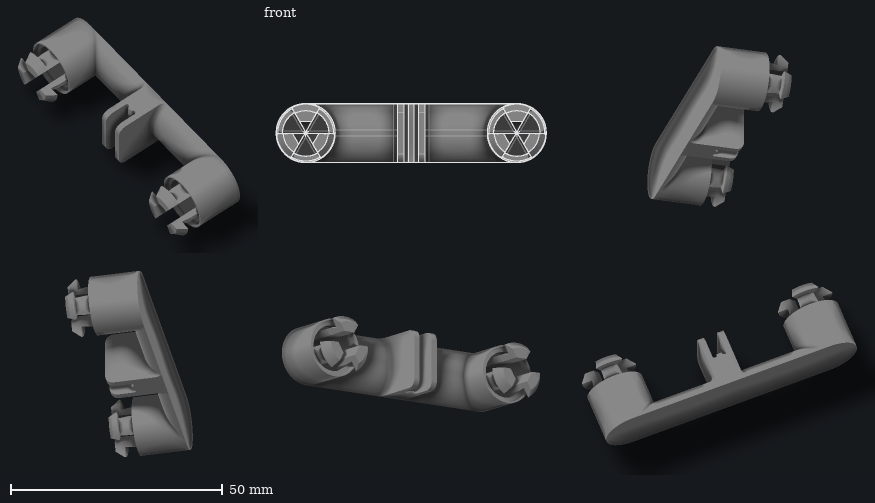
import cadquery as cq
import math

length = 64.0
height = 14.0
total_depth = 17.8

cap_radius = height / 2
cap_depth = 11.75
cap_spacing = length - 2 * cap_radius
rim_radius = 13.25 / 2
rim_height = 0.15
rim_recess = 1.0
socket_radius = 11.0 / 2
rim_depth = cap_depth + rim_height
ledge_depth = rim_depth - rim_recess

bar_depth = 4.0
bar_arc_back = cap_radius - bar_depth
bar_half_flat = height / 2 - math.sqrt(cap_radius**2 - bar_arc_back**2)

fork_width = 6.5
fork_depth = 13.8
plate_thickness = 1.5
plate_corner_radius = 2.1
fork_fillet = 1.0
pick_margin = 0.1
slot_half_width = fork_width / 2 - plate_thickness
slot_floor = 8.0
slot_ridge_half_width = 0.65
groove_depth = 0.65
groove_center = (slot_half_width + slot_ridge_half_width) / 2
groove_wall_drop = 0.25

prong_count = 3
gap_angle = 60.0
gap_side_offset = 0.13
prong_angles = [90.0 + index * 360 / prong_count for index in range(prong_count)]
gap_angles = [angle + 180 / prong_count for angle in prong_angles]
prong_radius = 4.75
prong_neck_radius = 4.45
prong_taper_start = 13.3
neck_length = 0.4
prong_inner_distance = 2.76
hook_radius = 6.87
hook_tip_radius = 5.3
hook_start = 15.5
hook_edge = 0.25
clearance_floor = ledge_depth - 2.0
gap_floor = 2.5
gap_fillet = 0.6
hollow_floor = gap_floor + gap_fillet / 2


def along_y(start, end):
    """Workplane facing -Y (local X = X, local Y = Z) at depth `start`, with its extrusion length."""
    return cq.Workplane("XZ", origin=(0, -start, 0)), end - start


def disc(radius, start, end):
    plane, thickness = along_y(start, end)
    return plane.circle(radius).extrude(thickness)


def turn_to(body, angle):
    """Turn a body that points along +X about the Y axis, by `angle` from +X towards +Z."""
    return body.rotate((0, 0, 0), (0, 1, 0), -angle)


def make_bar(bar_length):
    """Bar running along X; its sides carry on behind Y = 0 up to the arc centres."""
    half_height = bar_half_flat + cap_radius
    arc_mid = cap_radius * math.sqrt(0.5)
    return (
        cq.Workplane("YZ", origin=(-bar_length / 2, 0, 0))
        .moveTo(bar_arc_back, -half_height)
        .threePointArc((bar_arc_back - arc_mid, -bar_half_flat - arc_mid), (-bar_depth, -bar_half_flat))
        .lineTo(-bar_depth, bar_half_flat)
        .threePointArc((bar_arc_back - arc_mid, bar_half_flat + arc_mid), (bar_arc_back, half_height))
        .close()
        .extrude(bar_length)
    )


def make_fork_blank():
    """Fork block, oversized in Z and to the back so that the bar fillets run out cleanly."""
    blank = cq.Workplane("XY").box(fork_width, fork_depth + bar_depth, 2 * height)
    return blank.translate((0, (bar_depth - fork_depth) / 2, 0))


def make_fork_slot():
    """Slot between the plates; its floor has a round groove along each plate."""
    groove_bottom = -slot_floor + groove_depth
    groove_shoulder = -slot_floor + groove_wall_drop
    return (
        cq.Workplane("XY", origin=(0, 0, -height / 2))
        .moveTo(slot_half_width, -total_depth)
        .lineTo(slot_half_width, groove_shoulder)
        .threePointArc((groove_center, groove_bottom), (slot_ridge_half_width, -slot_floor))
        .lineTo(-slot_ridge_half_width, -slot_floor)
        .threePointArc((-groove_center, groove_bottom), (-slot_half_width, groove_shoulder))
        .lineTo(-slot_half_width, -total_depth)
        .close()
        .extrude(height)
    )


def make_bar_with_fork():
    """Bar and fork, with the bar blended into the fork sides, trimmed to the height of the part."""
    body = make_bar(cap_spacing).union(make_fork_blank())
    for x in (-fork_width / 2, fork_width / 2):
        joint = cq.selectors.BoxSelector(
            (x - pick_margin, -bar_depth - pick_margin, -height),
            (x + pick_margin, bar_arc_back - pick_margin, height),
        )
        body = body.edges(joint).fillet(fork_fillet)
    envelope = cq.Workplane("XY").box(length, fork_depth, height).translate((0, -fork_depth / 2, 0))
    envelope = envelope.edges("|X and <Y").fillet(plate_corner_radius)
    return body.intersect(envelope).cut(make_fork_slot())


def make_sector(radius, start, end, angle):
    """Wedge between two prongs: straight sides from just past the axis, closed by an arc about it."""
    plane, thickness = along_y(start, end)
    half_angle = math.radians(gap_angle / 2)
    corner_angle = half_angle + math.asin(gap_side_offset / radius)
    corner_x = radius * math.cos(corner_angle)
    corner_z = radius * math.sin(corner_angle)
    wedge = (
        plane.moveTo(-gap_side_offset / math.sin(half_angle), 0)
        .lineTo(corner_x, -corner_z)
        .threePointArc((radius, 0), (corner_x, corner_z))
        .close()
        .extrude(thickness)
    )
    return turn_to(wedge, angle)


def make_prong_ring():
    """Full ring of the prong section, before it is split into prongs."""
    return (
        cq.Workplane("XY")
        .moveTo(0, -clearance_floor)
        .lineTo(prong_radius, -clearance_floor)
        .lineTo(prong_radius, -prong_taper_start)
        .lineTo(prong_neck_radius, -hook_start + neck_length)
        .lineTo(prong_neck_radius, -hook_start)
        .lineTo(hook_radius, -hook_start)
        .lineTo(hook_radius, -hook_start - hook_edge)
        .lineTo(hook_tip_radius, -total_depth)
        .lineTo(0, -total_depth)
        .close()
        .revolve(360, (0, 0, 0), (0, 1, 0))
    )


def make_gaps():
    """Spaces between the prongs, as wide as the socket inside it and wider than the hooks outside."""
    reach = 2 * cap_radius
    gaps = cq.Workplane("XY")
    for angle in gap_angles:
        wedge = make_sector(reach, gap_floor, total_depth, angle)
        gaps = gaps.union(wedge.faces(">Y").edges("%LINE").fillet(gap_fillet))
    limits = disc(socket_radius, 0, ledge_depth)
    limits = limits.union(disc(rim_radius, ledge_depth, rim_depth))
    limits = limits.union(disc(reach, rim_depth, total_depth))
    return gaps.intersect(limits)


def make_prong_hollow():
    """Space between the prongs: one flat wall per prong that sweeps round to the axis at its root."""
    curve_mid = prong_inner_distance * math.sqrt(0.5)
    wall_root = hollow_floor + prong_inner_distance
    side_view = (
        cq.Workplane("XY", origin=(0, 0, -cap_radius))
        .moveTo(-cap_radius, -hollow_floor)
        .lineTo(0, -hollow_floor)
        .threePointArc((curve_mid, -wall_root + curve_mid), (prong_inner_distance, -wall_root))
        .lineTo(prong_inner_distance, -total_depth)
        .lineTo(-cap_radius, -total_depth)
        .close()
        .extrude(2 * cap_radius)
    )
    hollow = turn_to(side_view, prong_angles[0])
    for angle in prong_angles[1:]:
        hollow = hollow.intersect(turn_to(side_view, angle))
    return hollow


def make_end():
    """End cap with its socket and snap prongs, centred on the Y axis."""
    end = disc(cap_radius, 0, cap_depth).union(disc(cap_radius, cap_depth, rim_depth))
    end = end.cut(disc(rim_radius, ledge_depth, rim_depth))
    end = end.cut(disc(socket_radius, clearance_floor, ledge_depth))
    end = end.union(make_prong_ring())
    return end.cut(make_gaps().union(make_prong_hollow()))


def make_part():
    body = make_bar_with_fork()
    end = make_end()
    for x in (-cap_spacing / 2, cap_spacing / 2):
        bore = disc(cap_radius, 0, cap_depth).translate((x, 0, 0))
        body = body.cut(bore).union(end.translate((x, 0, 0)))
    return body


result = make_part()